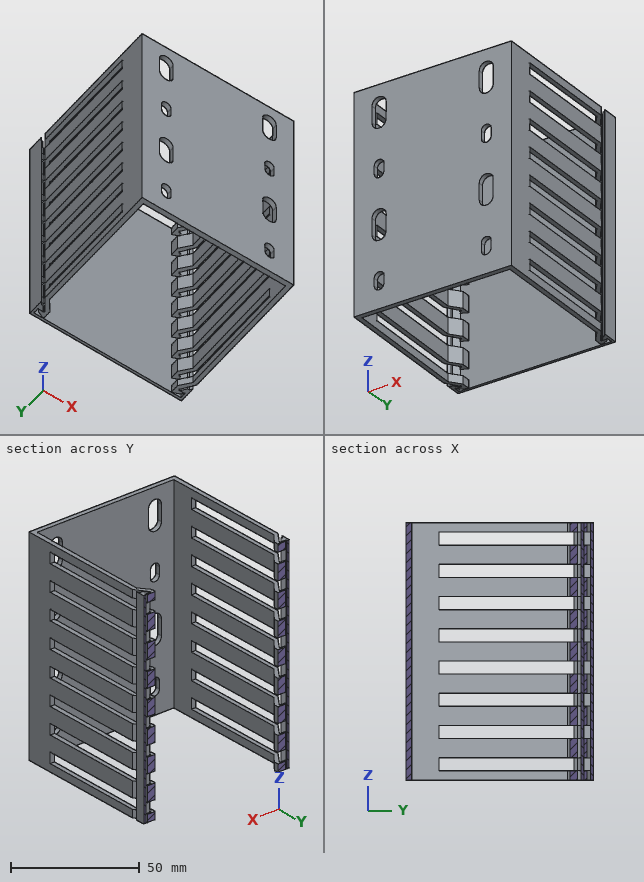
import cadquery as cq


width = 73.5
depth = 72.8
length = 100.0
half_width = width / 2

floor_thickness = 2.3
wall_thickness = 2.0
wall_taper = 0.29

shoulder_drop = 10.0
inner_shoulder_drop = 10.1
neck_inset = 4.1
neck_drop = 4.3
finger_inset = 5.8
finger_tip_drop = 5.3
barb_tip_inset = 1.4
barb_flank_inset = 2.2
barb_flank_drop = 2.7
barb_top_inset = 5.6

cover_thickness = 1.2
leg_length = 7.6
hook_tip_inset = 3.6
step_drop = 6.3
step_outer_inset = 0.9
step_inner_inset = 1.7
hook_drop = 3.8

slot_count = 8
slot_pitch = length / slot_count
slot_width = 5.0
slot_floor = 12.9

large_hole_width = 6.5
large_hole_length = 14.0
small_hole_width = 4.5
small_hole_length = 8.0
hole_spacing = 50.0
first_small_hole = 12.5
first_large_hole = first_small_hole + hole_spacing / 2


def side_point(inset, drop):
    """Point on the +X half: inset from the side face, drop from the cover's outer face."""
    return (half_width - inset, depth - drop)


def extrude_symmetric(half_outline):
    """Mirror a half outline about X = 0 and extrude it over the whole length."""
    mirrored = [(-x, y) for x, y in reversed(half_outline)]
    return cq.Workplane("XY").polyline(half_outline + mirrored).close().extrude(length)


def make_duct_body():
    return extrude_symmetric([
        (half_width, 0),
        side_point(0, shoulder_drop),
        side_point(neck_inset, neck_drop),
        side_point(neck_inset, hook_drop),
        side_point(barb_tip_inset, hook_drop),
        side_point(barb_flank_inset, barb_flank_drop),
        side_point(barb_top_inset, cover_thickness),
        side_point(finger_inset, cover_thickness),
        side_point(finger_inset, finger_tip_drop),
        side_point(wall_thickness, inner_shoulder_drop),
        (half_width - wall_thickness - wall_taper, floor_thickness),
    ])


def make_slot_cutters():
    """Bars across both side walls, open towards the cover."""
    centers = [(0, (i + 0.5) * slot_pitch) for i in range(slot_count)]
    return (
        cq.Workplane("XZ", origin=(0, slot_floor, 0))
        .pushPoints(centers)
        .rect(width, slot_width)
        .extrude(slot_floor - depth)
    )


def make_hole_cutters(hole_width, hole_length, first_center):
    """Oblong cutters through the floor, two along each row."""
    centers = [
        (side * hole_spacing / 2, first_center + i * hole_spacing)
        for side in (-1, 1)
        for i in range(2)
    ]
    return (
        cq.Workplane("XZ")
        .pushPoints(centers)
        .slot2D(hole_length, hole_width, 90)
        .extrude(-floor_thickness)
    )


def make_duct():
    return (
        make_duct_body()
        .cut(make_slot_cutters())
        .cut(make_hole_cutters(large_hole_width, large_hole_length, first_large_hole))
        .cut(make_hole_cutters(small_hole_width, small_hole_length, first_small_hole))
    )


def make_cover():
    """Flat cover whose two legs end in hooks that catch the barbs."""
    return extrude_symmetric([
        (half_width, depth),
        side_point(0, leg_length),
        side_point(step_outer_inset, step_drop),
        side_point(step_inner_inset, step_drop),
        side_point(hook_tip_inset, hook_drop),
        side_point(cover_thickness, hook_drop),
        side_point(cover_thickness, cover_thickness),
    ])


duct = make_duct()
cover = make_cover()

result = cq.Compound.makeCompound([duct.val(), cover.val()])